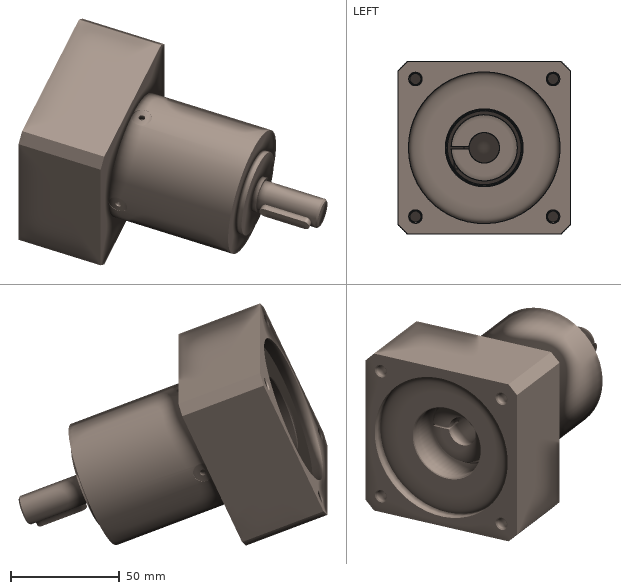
import cadquery as cq

block_end = 40.9
body_end = 100.4
pilot_end = 103.3
collar_end = 105.4
shaft_end = 135.5

block_side = 80.0
block_corner_chamfer = 4.5
mount_hole_pitch = 63.7
mount_hole_diameter = 5.1
mount_hole_mouth_diameter = 6.2
mount_hole_depth = 14.9

body_diameter = 60.0
pilot_diameter = 40.4
collar_diameter = 16.8
shaft_diameter = 14.1
shaft_chamfer = 0.8

recess_diameter = 70.2
recess_depth = 5.4
bore_mouth_diameter = 36.0
bore_diameter = 35.2
bore_end = 24.4
cavity_diameter = 34.1
cavity_end = 35.2

hub_face = 20.3
hub_diameter = 30.6
hub_bore_diameter = 14.1
hub_bore_end = 38.0
slit_width = 1.1
slit_step_radius = 9.5
slit_step_end = 29.8
clamp_screw_diameter = 4.6
clamp_screw_outer_edge = 14.1
clamp_screw_end = 9.8
clamp_screw_setback = 4.0

spot_diameter = 9.2
spot_depth = 0.4
spot_cut_height = 2 * spot_depth
plug_hole_diameter = 3.0
plug_hole_depth = 2.7
spot_station = block_end + spot_diameter / 2

key_start = 107.7
key_length = 24.9
key_width = 5.3
key_top = 9.3
key_seat = 4.0


def cylinder(start, end, diameter):
    """Cylinder on the X axis between two stations."""
    return cq.Workplane("YZ", origin=(start, 0, 0)).circle(diameter / 2).extrude(end - start)


def cone(start, end, start_diameter, end_diameter):
    """Tapered cylinder on the X axis between two stations."""
    return (
        cq.Workplane("YZ", origin=(start, 0, 0))
        .circle(start_diameter / 2)
        .workplane(offset=end - start)
        .circle(end_diameter / 2)
        .loft(ruled=True)
    )


def flange_block():
    return (
        cq.Workplane("YZ")
        .rect(block_side, block_side)
        .extrude(block_end)
        .edges("|X")
        .chamfer(block_corner_chamfer)
    )


def turned_body():
    shaft = cylinder(collar_end, shaft_end, shaft_diameter).faces(">X").chamfer(shaft_chamfer)
    return (
        cylinder(block_end, body_end, body_diameter)
        .union(cylinder(body_end, pilot_end, pilot_diameter))
        .union(cylinder(pilot_end, collar_end, collar_diameter))
        .union(shaft)
    )


def shaft_key():
    return (
        cq.Workplane("XZ", origin=(key_start + key_length / 2, -key_seat, 0))
        .slot2D(key_length, key_width)
        .extrude(key_top - key_seat)
    )


def motor_cavity():
    """Centring recess, chamfered bore and the slightly narrower cavity around the hub."""
    mouth_chamfer = (bore_mouth_diameter - bore_diameter) / 2
    return (
        cylinder(0, recess_depth, recess_diameter)
        .union(cone(recess_depth, recess_depth + mouth_chamfer, bore_mouth_diameter, bore_diameter))
        .union(cylinder(recess_depth + mouth_chamfer, bore_end, bore_diameter))
        .union(cylinder(bore_end, cavity_end, cavity_diameter))
    )


def slit(end, outer_radius):
    """Radial cut towards +Y that opens the hub on one side."""
    return cq.Workplane("XY", origin=(hub_face, 0, 0)).box(
        end - hub_face, outer_radius, slit_width, centered=(False, False, True)
    )


def clamping_hub():
    screw_radius = clamp_screw_diameter / 2
    screw = (
        cq.Workplane("XY")
        .center(hub_face + clamp_screw_setback, clamp_screw_outer_edge - screw_radius)
        .circle(screw_radius)
        .extrude(-clamp_screw_end)
    )
    slit_core = cylinder(hub_face, cavity_end, 2 * slit_step_radius)
    deep_slit = slit(cavity_end, hub_diameter / 2).cut(slit_core)
    return (
        cylinder(hub_face, cavity_end, hub_diameter)
        .union(screw)
        .cut(slit(slit_step_end, slit_step_radius))
        .cut(deep_slit)
    )


def mount_holes():
    mouth_chamfer = (mount_hole_mouth_diameter - mount_hole_diameter) / 2
    hole = cylinder(0, mount_hole_depth, mount_hole_diameter).union(
        cone(0, mouth_chamfer, mount_hole_mouth_diameter, mount_hole_diameter)
    )
    holes = cq.Workplane()
    for y_side in (-1, 1):
        for z_side in (-1, 1):
            offset = (0, y_side * mount_hole_pitch / 2, z_side * mount_hole_pitch / 2)
            holes = holes.add(hole.translate(offset))
    return holes.combine()


def plug_holes():
    """Four shallow spot faces with a small hole, one every quarter turn."""
    spot_floor = body_diameter / 2 - spot_depth
    hole_floor = spot_floor - plug_hole_depth
    spot = (
        cq.Workplane("XY", origin=(spot_station, 0, spot_floor))
        .circle(spot_diameter / 2)
        .extrude(spot_cut_height)
    )
    hole = (
        cq.Workplane("XY", origin=(spot_station, 0, hole_floor))
        .circle(plug_hole_diameter / 2)
        .extrude(plug_hole_depth)
    )
    tool = spot.union(hole)
    holes = cq.Workplane()
    for quarter in range(4):
        holes = holes.add(tool.rotate((0, 0, 0), (1, 0, 0), 90 * quarter))
    return holes.combine()


result = (
    flange_block()
    .union(turned_body())
    .union(shaft_key())
    .cut(motor_cavity())
    .union(clamping_hub())
    .cut(cylinder(hub_face, hub_bore_end, hub_bore_diameter))
    .cut(mount_holes())
    .cut(plug_holes())
)